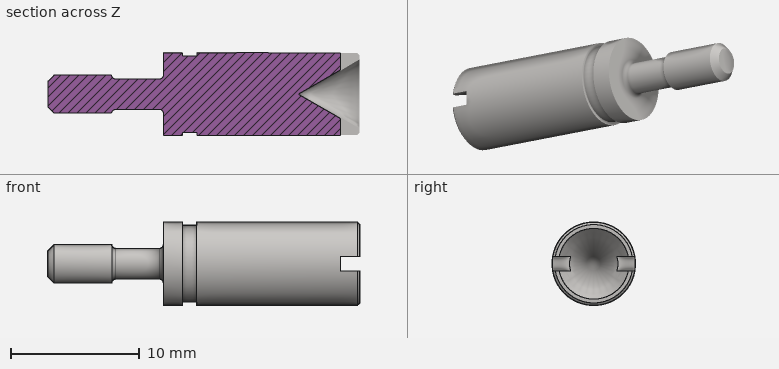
import cadquery as cq
import math

total_length = 24.3

stud_radius = 1.5
stud_length = 5.0
tip_chamfer = 0.5
neck_radius = 1.2
neck_fillet = stud_radius - neck_radius

head_radius = 3.25
head_start = 9.0
collar_length = 1.5
groove_radius = 3.0
groove_width = 1.1
end_chamfer = 0.2

slot_width = 1.1
slot_depth = 1.5

recess_mouth_radius = 2.75
recess_included_angle = 60.0


def make_stud():
    """Tip section and neck; concave fillets flare the neck out to the stud radius at both ends."""
    return (
        cq.Workplane("XZ")
        .moveTo(0, 0)
        .lineTo(0, stud_radius - tip_chamfer)
        .lineTo(tip_chamfer, stud_radius)
        .lineTo(stud_length, stud_radius)
        .radiusArc((stud_length + neck_fillet, neck_radius), -neck_fillet)
        .lineTo(head_start - neck_fillet, neck_radius)
        .radiusArc((head_start, stud_radius), -neck_fillet)
        .lineTo(head_start, 0)
        .close()
        .revolve(360, (0, 0, 0), (1, 0, 0))
    )


def make_head():
    """Collar, groove and body, with a chamfer around the free end."""
    groove_start = head_start + collar_length
    groove_end = groove_start + groove_width
    return (
        cq.Workplane("XZ")
        .moveTo(head_start, 0)
        .lineTo(head_start, head_radius)
        .lineTo(groove_start, head_radius)
        .lineTo(groove_start, groove_radius)
        .lineTo(groove_end, groove_radius)
        .lineTo(groove_end, head_radius)
        .lineTo(total_length - end_chamfer, head_radius)
        .lineTo(total_length, head_radius - end_chamfer)
        .lineTo(total_length, 0)
        .close()
        .revolve(360, (0, 0, 0), (1, 0, 0))
    )


def make_slot():
    """Cutter for the slot, running along Y through the whole head."""
    return (
        cq.Workplane("XY")
        .box(slot_depth, 2 * head_radius, slot_width)
        .translate((total_length - slot_depth / 2, 0, 0))
    )


def make_recess():
    """Cutter for the conical recess, widest at the free end and pointed inside the head."""
    recess_depth = recess_mouth_radius / math.tan(math.radians(recess_included_angle / 2))
    return (
        cq.Workplane("XZ")
        .moveTo(total_length - recess_depth, 0)
        .lineTo(total_length, recess_mouth_radius)
        .lineTo(total_length, 0)
        .close()
        .revolve(360, (0, 0, 0), (1, 0, 0))
    )


result = make_stud().union(make_head()).cut(make_slot()).cut(make_recess())